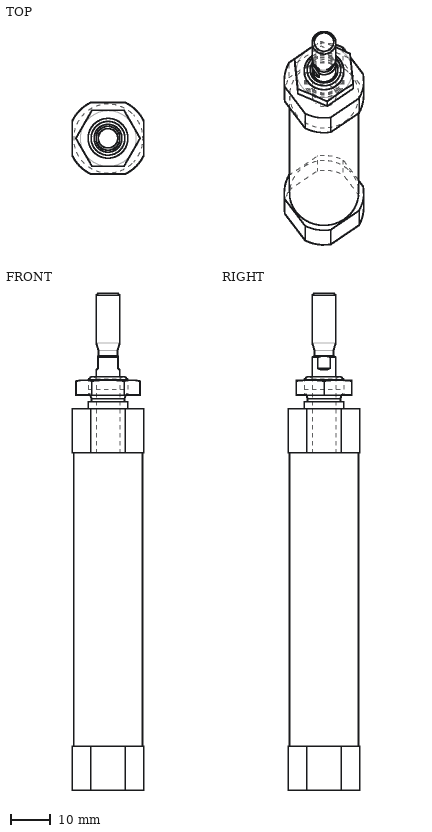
import cadquery as cq
import math

TOTAL_LENGTH = 124.6
CAP_HEIGHT = 11.1
UPPER_CAP_TOP = 95.7
UPPER_CAP_BOTTOM = UPPER_CAP_TOP - CAP_HEIGHT

CAP_WIDTH = 18.0
CAP_FLAT_LENGTH = 8.7
CAP_CORNER_DIAMETER = math.hypot(CAP_WIDTH, CAP_FLAT_LENGTH)
BARREL_DIAMETER = 17.3
NOSE_DIAMETER = 10.0
NECK_DIAMETER = 8.3
COLLAR_HEIGHT = 1.7
NECK_TAPER_BOTTOM = 98.2
NECK_TAPER_TOP = 100.5
NOSE_END_DIAMETER = 8.5
NOSE_CHAMFER_HEIGHT = 0.7
NOSE_TOP = 103.7
BORE_CHAMFER = 0.5
COLLAR_TOP = UPPER_CAP_TOP + COLLAR_HEIGHT

NUT_WIDTH = 14.0
NUT_HEIGHT = 3.7
NUT_BOTTOM = 99.0
NUT_CORNER_DIAMETER = NUT_WIDTH / math.cos(math.pi / 6)
NUT_CHAMFER_HEIGHT = 0.2

ROD_DIAMETER = 6.0
ROD_BOTTOM = UPPER_CAP_BOTTOM
TIP_DIAMETER = 4.9
TIP_CHAMFER_HEIGHT = 0.56
GROOVE_DIAMETER = 4.9
GROOVE_BOTTOM = 108.9
GROOVE_TOP = 110.3
SHOULDER_CHAMFER_HEIGHT = 0.4
THREAD_BOTTOM = 112.1
FLAT_WIDTH = 5.1
FLAT_BOTTOM = 105.8


def revolve_profile(points):
    """Revolve an outline of (radius, height) points about the Z axis."""
    return cq.Workplane("XZ").polyline(points).close().revolve(360, (0, 0), (0, 1))


def cylinder(diameter, bottom, top):
    return cq.Workplane("XY").workplane(offset=bottom).circle(diameter / 2).extrude(top - bottom)


def make_cap(bottom):
    """Square cap whose corners are rounded about the cylinder axis."""
    square = cq.Workplane("XY").workplane(offset=bottom).rect(CAP_WIDTH, CAP_WIDTH).extrude(CAP_HEIGHT)
    return square.intersect(cylinder(CAP_CORNER_DIAMETER, bottom, bottom + CAP_HEIGHT))


def make_nose():
    """Nose with a collar, a neck that tapers out inside the nut and a chamfered end."""
    nose_radius = NOSE_DIAMETER / 2
    neck_radius = NECK_DIAMETER / 2
    return revolve_profile([
        (0, UPPER_CAP_TOP),
        (nose_radius, UPPER_CAP_TOP),
        (nose_radius, COLLAR_TOP),
        (neck_radius, COLLAR_TOP),
        (neck_radius, NECK_TAPER_BOTTOM),
        (nose_radius, NECK_TAPER_TOP),
        (nose_radius, NOSE_TOP - NOSE_CHAMFER_HEIGHT),
        (NOSE_END_DIAMETER / 2, NOSE_TOP),
        (0, NOSE_TOP),
    ])


def make_housing():
    barrel = cylinder(BARREL_DIAMETER, CAP_HEIGHT, UPPER_CAP_BOTTOM)
    body = barrel.union(make_cap(0)).union(make_cap(UPPER_CAP_BOTTOM)).union(make_nose())
    rod_bore = cylinder(ROD_DIAMETER, ROD_BOTTOM, NOSE_TOP)
    bore_radius = ROD_DIAMETER / 2
    bore_countersink = revolve_profile([
        (0, NOSE_TOP - BORE_CHAMFER),
        (bore_radius, NOSE_TOP - BORE_CHAMFER),
        (bore_radius + BORE_CHAMFER, NOSE_TOP),
        (0, NOSE_TOP),
    ])
    return body.cut(rod_bore).cut(bore_countersink)


def make_nut():
    """Hexagonal nut with its corners chamfered on the upper face."""
    nut_top = NUT_BOTTOM + NUT_HEIGHT
    hexagon = (
        cq.Workplane("XY").workplane(offset=NUT_BOTTOM)
        .polygon(6, NUT_CORNER_DIAMETER).extrude(NUT_HEIGHT)
    )
    face_radius = NUT_WIDTH / 2
    corner_radius = NUT_CORNER_DIAMETER / 2
    chamfered_disc = revolve_profile([
        (0, NUT_BOTTOM),
        (corner_radius, NUT_BOTTOM),
        (corner_radius, nut_top - NUT_CHAMFER_HEIGHT),
        (face_radius, nut_top),
        (0, nut_top),
    ])
    return hexagon.intersect(chamfered_disc).cut(cylinder(NOSE_DIAMETER, NUT_BOTTOM, nut_top))


def make_flat_cut(side):
    """Cut for one wrench flat, facing -X or +X, with a lower end sloped at 45 degrees."""
    flat_x = FLAT_WIDTH / 2
    surface_x = ROD_DIAMETER / 2
    outline = [
        (side * flat_x, FLAT_BOTTOM),
        (side * surface_x, FLAT_BOTTOM - (surface_x - flat_x)),
        (side * surface_x, GROOVE_BOTTOM),
        (side * flat_x, GROOVE_BOTTOM),
    ]
    return cq.Workplane("XZ").polyline(outline).close().extrude(ROD_DIAMETER / 2, both=True)


def make_rod():
    """Piston rod with a wrench section, a relief groove and a chamfered threaded end."""
    rod_radius = ROD_DIAMETER / 2
    groove_radius = GROOVE_DIAMETER / 2
    rod = revolve_profile([
        (0, ROD_BOTTOM),
        (rod_radius, ROD_BOTTOM),
        (rod_radius, GROOVE_BOTTOM - SHOULDER_CHAMFER_HEIGHT),
        (groove_radius, GROOVE_BOTTOM),
        (groove_radius, GROOVE_TOP),
        (rod_radius, THREAD_BOTTOM),
        (rod_radius, TOTAL_LENGTH - TIP_CHAMFER_HEIGHT),
        (TIP_DIAMETER / 2, TOTAL_LENGTH),
        (0, TOTAL_LENGTH),
    ])
    for side in (-1, 1):
        rod = rod.cut(make_flat_cut(side))
    return rod


housing = make_housing()
nut = make_nut()
rod = make_rod()

result = cq.Compound.makeCompound([housing.val(), nut.val(), rod.val()])